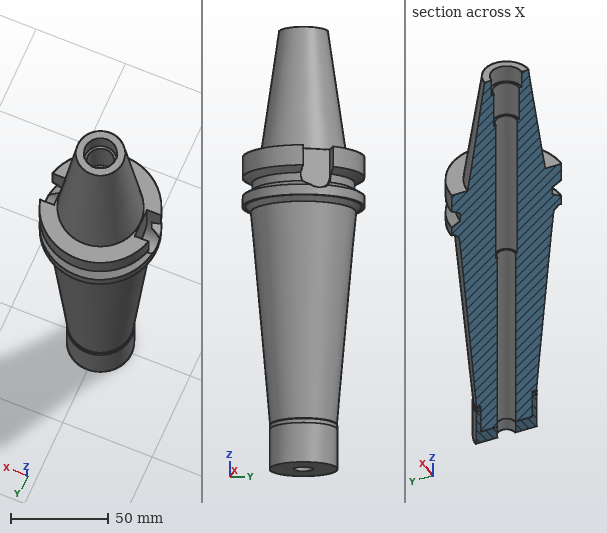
import cadquery as cq
import math

total_height = 230.5
gauge_z = 165.0
gauge_land = 1.0
flange_top_z = gauge_z - gauge_land
flange_bottom_z = 138.0
groove_center_z = 148.4
shank_top_z = 135.2
shank_bottom_z = 23.3
nut_height = 20.7
ring_height = 2.0

gauge_diameter = 44.5
gauge_radius = gauge_diameter / 2
taper_ratio = 7 / 24
taper_end_radius = gauge_radius - (total_height - gauge_z) * taper_ratio / 2

flange_diameter = 63.0
flange_radius = flange_diameter / 2
flange_step_radius = 30.0
groove_root_radius = 26.5
groove_root_width = 4.4
groove_wall_angle = 30
groove_root_half = groove_root_width / 2
groove_rim_half = groove_root_half + (
    (flange_radius - groove_root_radius) * math.tan(math.radians(groove_wall_angle))
)

slot_width = 16.1
slot_floor_x = 22.5
slot_bottom_z = 142.0

shank_top_radius = 27.2
shank_bottom_radius = 17.3
spigot_radius = 15.0
spigot_bottom_z = 7.0

pilot_radius = 8.5
pilot_depth = 9.7
thread_radius = 7.1
thread_depth = 30.0
mid_bore_radius = 6.0
mid_bore_depth = 115.2
through_radius = 5.0

nut_radius = 17.5


def revolve_profile(points):
    """Solid of revolution about Z from (radius, height) points."""
    return cq.Workplane("XZ").polyline(points).close().revolve(360, (0, 0, 0), (0, 1, 0))


def make_blank():
    """Turned outside of the holder."""
    return revolve_profile([
        (0, spigot_bottom_z),
        (spigot_radius, spigot_bottom_z),
        (spigot_radius, shank_bottom_z),
        (shank_bottom_radius, shank_bottom_z),
        (shank_top_radius, shank_top_z),
        (flange_step_radius, flange_bottom_z),
        (flange_radius, flange_bottom_z),
        (flange_radius, groove_center_z - groove_rim_half),
        (groove_root_radius, groove_center_z - groove_root_half),
        (groove_root_radius, groove_center_z + groove_root_half),
        (flange_radius, groove_center_z + groove_rim_half),
        (flange_radius, flange_top_z),
        (gauge_radius, flange_top_z),
        (gauge_radius, gauge_z),
        (taper_end_radius, total_height),
        (0, total_height),
    ])


def make_bore():
    """Pilot, thread core, middle bore and through bore as one cutter."""
    pilot_bottom_z = total_height - pilot_depth
    thread_bottom_z = total_height - thread_depth
    mid_bottom_z = total_height - mid_bore_depth
    return revolve_profile([
        (0, spigot_bottom_z),
        (through_radius, spigot_bottom_z),
        (through_radius, mid_bottom_z),
        (mid_bore_radius, mid_bottom_z),
        (mid_bore_radius, thread_bottom_z),
        (thread_radius, thread_bottom_z),
        (thread_radius, pilot_bottom_z),
        (pilot_radius, pilot_bottom_z),
        (pilot_radius, total_height),
        (0, total_height),
    ])


def make_drive_slot(side):
    """Round-bottomed slot cutter on the +X (side = 1) or -X (side = -1) edge of the flange."""
    slot_radius = slot_width / 2
    arc_center_z = slot_bottom_z + slot_radius
    return (
        cq.Workplane("YZ", origin=(side * slot_floor_x, 0, 0))
        .moveTo(-slot_radius, flange_top_z)
        .lineTo(-slot_radius, arc_center_z)
        .threePointArc((0, slot_bottom_z), (slot_radius, arc_center_z))
        .lineTo(slot_radius, flange_top_z)
        .close()
        .extrude(side * flange_radius)
    )


def make_holder():
    holder = make_blank().cut(make_bore())
    for side in (-1, 1):
        holder = holder.cut(make_drive_slot(side))
    return holder


def make_nut():
    """Plain round nut with a recess for the spigot."""
    nut = cq.Workplane("XY").circle(nut_radius).circle(through_radius).extrude(nut_height)
    recess = (
        cq.Workplane("XY", origin=(0, 0, spigot_bottom_z))
        .circle(spigot_radius)
        .extrude(nut_height - spigot_bottom_z)
    )
    return nut.cut(recess)


def make_ring():
    """Ring on the spigot, seated on the nut and just clear of the shank."""
    return (
        cq.Workplane("XY", origin=(0, 0, nut_height))
        .circle(nut_radius)
        .circle(spigot_radius)
        .extrude(ring_height)
    )


holder = make_holder()
nut = make_nut()
ring = make_ring()

result = cq.Compound.makeCompound([holder.val(), nut.val(), ring.val()])